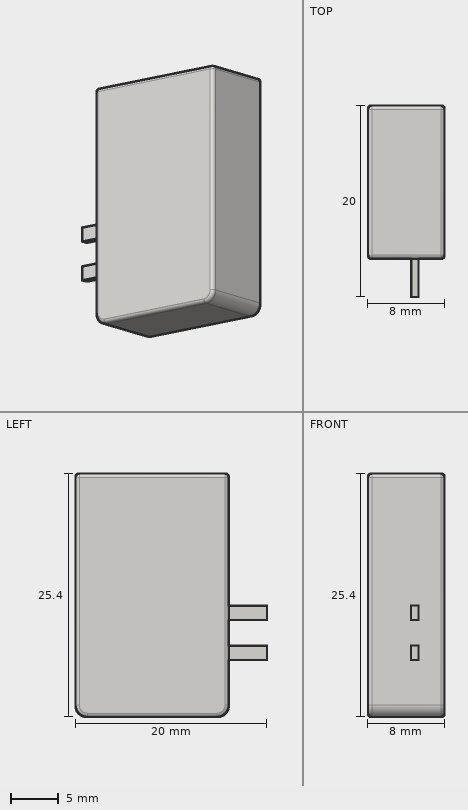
import cadquery as cq

body_width = 8.0
body_depth = 16.0
body_height = 25.4
bottom_corner_radius = 1.25
edge_radius = 0.4

pin_width = 0.8
pin_height = 1.5
pin_length = 4.0
pin_offset_x = 0.9
lower_pin_z = 6.7
pin_count = 2
pin_pitch = 4.17

front_face_y = -body_depth / 2


def make_body():
    """Box with large rounded bottom corners and all outer edges softened."""
    box = cq.Workplane("XY").box(body_width, body_depth, body_height, centered=(True, True, False))
    rounded = box.faces("<Z").edges("|X").fillet(bottom_corner_radius)
    side_outlines = rounded.faces("<X or >X").edges()
    top_edges = rounded.faces(">Z").edges("|X")
    return side_outlines.add(top_edges).fillet(edge_radius)


def make_pin(center_z):
    """Square-ended pin that starts on the -Y face and points toward -Y."""
    return (
        cq.Workplane("XY")
        .box(pin_width, pin_length, pin_height)
        .translate((pin_offset_x, front_face_y - pin_length / 2, center_z))
    )


result = make_body()
for pin_index in range(pin_count):
    result = result.union(make_pin(lower_pin_z + pin_index * pin_pitch))